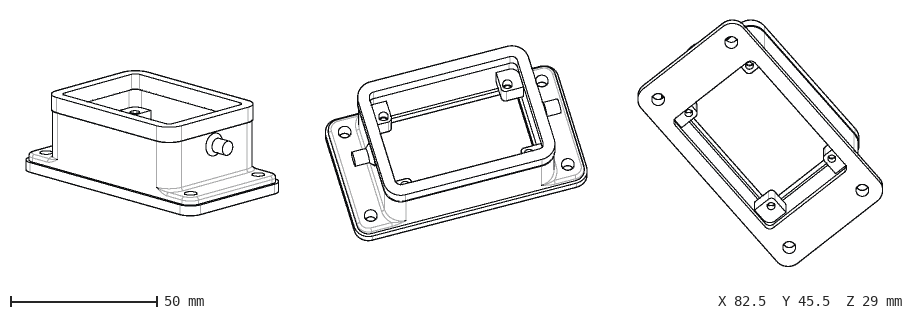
import cadquery as cq

base_length = 82.5
base_width = 45.5
base_height = 3.5
base_corner_radius = 5.0

flange_step = 1.0
flange_top = 6.0
flange_length = base_length - 2 * flange_step
flange_width = base_width - 2 * flange_step
flange_corner_radius = base_corner_radius - flange_step
flange_edge_radius = 1.0

body_length = 60.0
body_width = flange_width
body_corner_radius = 6.0
body_root_radius = 1.0

total_height = 29.0
rim_bottom = 23.5
rim_overhang = 0.25
rim_length = body_length + 2 * rim_overhang
rim_width = body_width + 2 * rim_overhang
rim_corner_radius = body_corner_radius

mouth_length = 52.5
mouth_width = 36.0
mouth_corner_radius = 2.0
cavity_length = 54.0
cavity_width = 37.5
cavity_corner_radius = 3.0
ledge_top = 3.5
floor_opening_length = 52.0
floor_opening_width = 35.5
floor_opening_corner_radius = 2.0

boss_inner_x = 19.5
boss_inner_y = 11.0
boss_corner_radius = 1.5
boss_top = 17.0
boss_bottom = 9.0
boss_hole_x = 22.0
boss_hole_y = 13.5
boss_hole_diameter = 2.6
boss_hole_mouth_diameter = 3.2

mount_hole_x = 35.0
mount_hole_y = 16.25
mount_hole_diameter = 4.3

pin_height = 19.0
pin_tip_x = 36.5
pin_radius = 2.5
pin_cone_length = 1.5
pin_cone_radius = pin_radius + pin_cone_length

wall_overlap = 1.0

edge_search = 0.1

corner_signs = [(sx, sy) for sx in (-1, 1) for sy in (-1, 1)]


def rounded_block(length, width, radius, bottom, top):
    """Block centred on the Z axis with rounded vertical edges."""
    block = cq.Workplane("XY", origin=(0, 0, bottom)).rect(length, width).extrude(top - bottom)
    return block.edges("|Z").fillet(radius)


def at_corners(x, y):
    """Four points mirrored about both the X and Y axes."""
    return [(sx * x, sy * y) for sx, sy in corner_signs]


def make_housing():
    """Flange and body, with the body root blended out into the flush long sides."""
    foot_margin = 2 * body_root_radius
    foot_length = body_length + 2 * foot_margin
    foot_width = body_width + 2 * foot_margin
    foot = cq.Workplane("XY").rect(foot_length, foot_width).extrude(flange_top)
    body = rounded_block(body_length, body_width, body_corner_radius, 0, rim_bottom)
    root_edges = cq.selectors.BoxSelector(
        (-body_length / 2 - edge_search, -body_width / 2 - edge_search, flange_top - edge_search),
        (body_length / 2 + edge_search, body_width / 2 + edge_search, flange_top + edge_search),
    )
    footed_body = foot.union(body).edges(root_edges).fillet(body_root_radius)

    flange = rounded_block(flange_length, flange_width, flange_corner_radius, 0, flange_top)
    trim = rounded_block(flange_length, flange_width, flange_corner_radius, 0, rim_bottom)
    housing = flange.union(footed_body.intersect(trim))

    end_edges = housing.faces("<X or >X").edges(">Z")
    return end_edges.fillet(flange_edge_radius)


def make_shell():
    """Base plate, housing and rim as one filled solid."""
    base = rounded_block(base_length, base_width, base_corner_radius, 0, base_height)
    rim = rounded_block(rim_length, rim_width, rim_corner_radius, rim_bottom, total_height)
    return base.union(make_housing()).union(rim)


def make_opening():
    """Through opening: mouth, wider cavity and floor opening."""
    mouth = rounded_block(mouth_length, mouth_width, mouth_corner_radius, rim_bottom, total_height)
    cavity = rounded_block(cavity_length, cavity_width, cavity_corner_radius, ledge_top, rim_bottom)
    floor = rounded_block(
        floor_opening_length, floor_opening_width, floor_opening_corner_radius, 0, ledge_top
    )
    return mouth.union(cavity).union(floor)


def make_boss(sx, sy):
    """Rectangular boss in one corner, merged into both cavity walls."""
    outer_x = cavity_length / 2 + wall_overlap
    outer_y = cavity_width / 2 + wall_overlap
    size_x = outer_x - boss_inner_x
    size_y = outer_y - boss_inner_y
    boss = (
        cq.Workplane("XY", origin=(0, 0, boss_bottom))
        .center(sx * (boss_inner_x + size_x / 2), sy * (boss_inner_y + size_y / 2))
        .rect(size_x, size_y)
        .extrude(boss_top - boss_bottom)
    )
    free_edge = boss.edges("|Z").edges(cq.NearestToPointSelector((0, 0, boss_bottom)))
    return free_edge.fillet(boss_corner_radius)


def make_boss_holes():
    """Four stepped through holes in the bosses, wider in the upper half."""
    step_height = (boss_top + boss_bottom) / 2
    points = at_corners(boss_hole_x, boss_hole_y)
    lower = cq.Workplane("XY").pushPoints(points).circle(boss_hole_diameter / 2).extrude(boss_top)
    upper = (
        cq.Workplane("XY", origin=(0, 0, step_height))
        .pushPoints(points)
        .circle(boss_hole_mouth_diameter / 2)
        .extrude(boss_top - step_height)
    )
    return lower.union(upper)


def make_mount_holes():
    """Four through holes near the flange corners."""
    return (
        cq.Workplane("XY")
        .pushPoints(at_corners(mount_hole_x, mount_hole_y))
        .circle(mount_hole_diameter / 2)
        .extrude(flange_top)
    )


def make_pin(side):
    """Round pin with a conical root, pointing along side * X."""
    root_x = body_length / 2
    cone_end_x = root_x + pin_cone_length
    start_x = root_x - wall_overlap
    profile = [
        (start_x, 0),
        (start_x, pin_cone_radius),
        (root_x, pin_cone_radius),
        (cone_end_x, pin_radius),
        (pin_tip_x, pin_radius),
        (pin_tip_x, 0),
    ]
    pin = cq.Workplane("XY").polyline(profile).close().revolve(360, (0, 0, 0), (1, 0, 0))
    if side < 0:
        pin = pin.mirror("YZ")
    return pin.translate((0, 0, pin_height))


result = make_shell().cut(make_opening())
for sign_x, sign_y in corner_signs:
    result = result.union(make_boss(sign_x, sign_y))
result = result.cut(make_boss_holes()).cut(make_mount_holes())
for pin_side in (-1, 1):
    result = result.union(make_pin(pin_side))